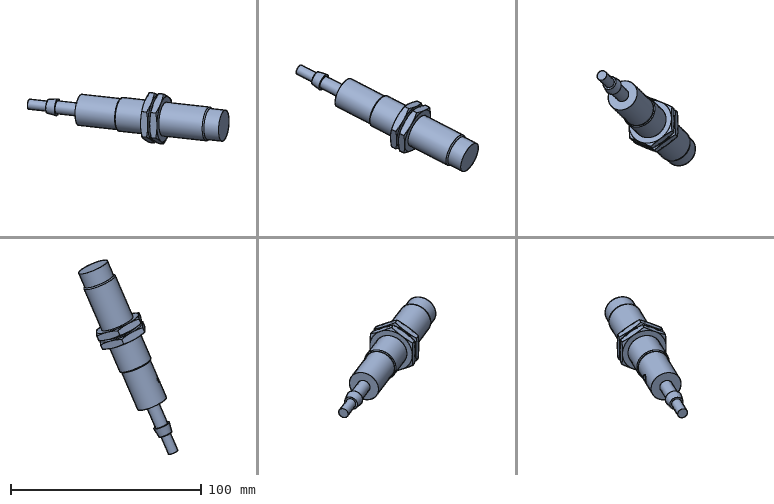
import cadquery as cq
import math

LENGTH = 108.8

TIP_DIAMETER = 5.4
STEM_DIAMETER = 7.0
COLLAR_START = 10.5
COLLAR_END = 15.8
COLLAR_FRONT_DIAMETER = 7.4
COLLAR_BACK_DIAMETER = 9.0

CAP_START = 28.6
THREAD_START = 50.8
THREAD_END = 100.6
CAP_DIAMETER = 16.5
THREAD_DIAMETER = 18.0
LEAD_IN = 0.5
THREAD_CHAMFER = (THREAD_DIAMETER - CAP_DIAMETER) / 2

WINDOW_DIAMETER = 4.0
WINDOW_X = 39.6
WINDOW_DEPTH = 0.9

NUT_ACROSS_FLATS = 24.0
NUT_ACROSS_CORNERS = NUT_ACROSS_FLATS / math.cos(math.radians(30))
NUT_THICKNESS = 4.0
NUT_GAP = 1.1
NUT_COUNT = 2
FIRST_NUT_START = 66.6
NUT_CHAMFER_LENGTH = 0.7


def make_housing():
    """Turn the barrel and cable stem, then sink the window."""
    tip = TIP_DIAMETER / 2
    stem = STEM_DIAMETER / 2
    cap = CAP_DIAMETER / 2
    thread = THREAD_DIAMETER / 2
    profile = [
        (0, 0),
        (0, tip),
        (COLLAR_START, tip),
        (COLLAR_START, COLLAR_FRONT_DIAMETER / 2),
        (COLLAR_END, COLLAR_BACK_DIAMETER / 2),
        (COLLAR_END, stem),
        (CAP_START, stem),
        (CAP_START, cap),
        (THREAD_START, cap),
        (THREAD_START, thread - LEAD_IN),
        (THREAD_START + LEAD_IN, thread),
        (THREAD_END - THREAD_CHAMFER, thread),
        (THREAD_END, cap),
        (LENGTH, cap),
        (LENGTH, 0),
    ]
    body = cq.Workplane("XY").polyline(profile).close().revolve(360, (0, 0, 0), (1, 0, 0))
    window = (
        cq.Workplane("XZ", origin=(WINDOW_X, cap - WINDOW_DEPTH, 0))
        .circle(WINDOW_DIAMETER / 2)
        .extrude(-cap)
    )
    return body.cut(window)


def make_lock_nut(start):
    """Hex nut with corners at +Z and -Z, turned conical at both faces."""
    end = start + NUT_THICKNESS
    face_radius = NUT_ACROSS_FLATS / 2
    corner_radius = NUT_ACROSS_CORNERS / 2
    hexagon = (
        cq.Workplane("YZ", origin=(start, 0, 0))
        .transformed(rotate=(0, 0, 90))
        .polygon(6, NUT_ACROSS_CORNERS)
        .extrude(NUT_THICKNESS)
    )
    envelope_profile = [
        (start, 0),
        (start, face_radius),
        (start + NUT_CHAMFER_LENGTH, corner_radius),
        (end - NUT_CHAMFER_LENGTH, corner_radius),
        (end, face_radius),
        (end, 0),
    ]
    envelope = cq.Workplane("XY").polyline(envelope_profile).close().revolve(360, (0, 0, 0), (1, 0, 0))
    bore = cq.Workplane("YZ", origin=(start, 0, 0)).circle(THREAD_DIAMETER / 2).extrude(NUT_THICKNESS)
    return hexagon.intersect(envelope).cut(bore)


housing = make_housing()
lock_nuts = [
    make_lock_nut(FIRST_NUT_START + index * (NUT_THICKNESS + NUT_GAP))
    for index in range(NUT_COUNT)
]

result = cq.Compound.makeCompound([housing.val(), *[nut.val() for nut in lock_nuts]])